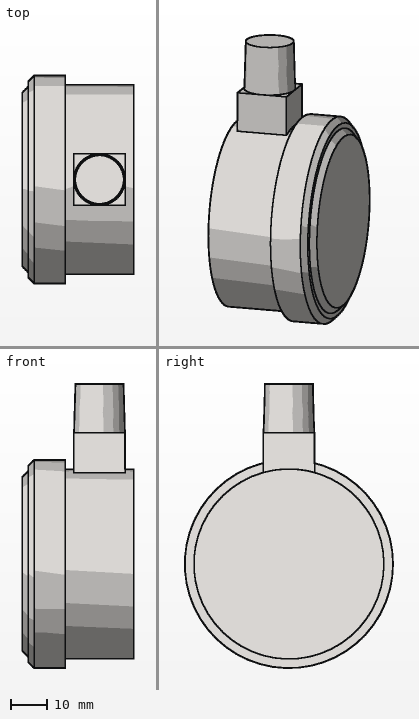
import cadquery as cq

total_height = 79.0
bezel_diameter = 57.9
bezel_radius = bezel_diameter / 2
case_radius = 26.4
total_depth = 31.0

bevel = 1.65
window_depth = 1.65
window_radius = 25.8
bezel_back = 12.0

block_side = 14.3
block_back_gap = 2.4
connector_height = 13.6
connector_base_diameter = 14.2
connector_top_diameter = 13.4

stem_x = total_depth - block_back_gap - block_side / 2
connector_top = total_height - bezel_radius
block_top = connector_top - connector_height


def make_case():
    """Revolve the half profile of window, bezel and case about X."""
    profile = (
        cq.Workplane("XY")
        .moveTo(0, 0)
        .lineTo(0, window_radius - bevel)
        .lineTo(window_depth, window_radius)
        .lineTo(window_depth, bezel_radius - bevel)
        .lineTo(window_depth + bevel, bezel_radius)
        .lineTo(bezel_back, bezel_radius)
        .lineTo(bezel_back, case_radius)
        .lineTo(total_depth, case_radius)
        .lineTo(total_depth, 0)
        .close()
    )
    return profile.revolve(360, (0, 0, 0), (1, 0, 0))


def make_block():
    """Square block running from the case axis up to the connector."""
    return (
        cq.Workplane("XY")
        .center(stem_x, 0)
        .rect(block_side, block_side)
        .extrude(block_top)
    )


def make_connector():
    """Round connector that narrows slightly towards its top."""
    return (
        cq.Workplane("XY", origin=(stem_x, 0, block_top))
        .circle(connector_base_diameter / 2)
        .workplane(offset=connector_height)
        .circle(connector_top_diameter / 2)
        .loft(ruled=True)
    )


result = make_case().union(make_block()).union(make_connector())